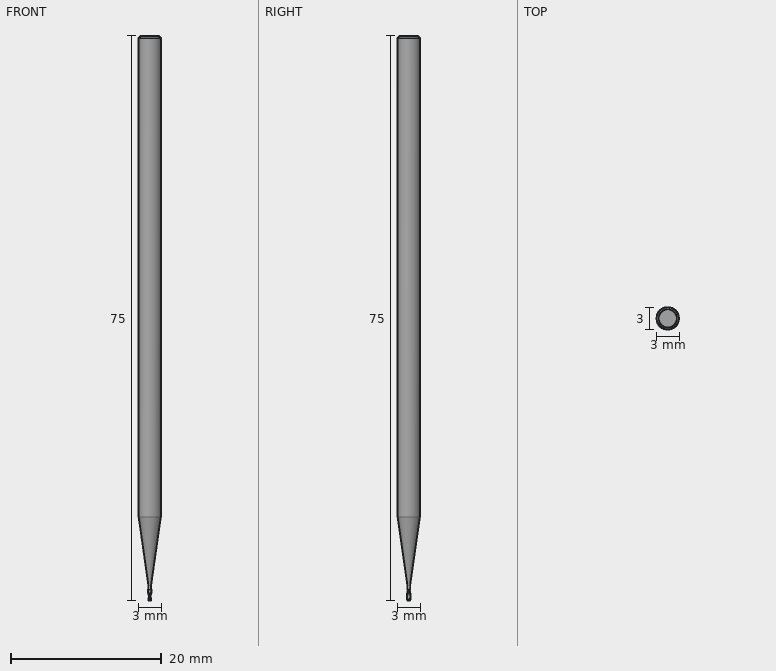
import cadquery as cq
import math

total_length = 75.0
shank_diameter = 3.0
shank_chamfer = 0.3
shank_bottom_z = 11.2
taper_bottom_z = 2.1
neck_diameter = 0.4

head_diameter = 0.5
head_length = 1.5
web_thickness = 0.15
web_stock_width = 2 * head_diameter
helix_angle = 25.0
tip_web_angle = 25.0

shank_radius = shank_diameter / 2
neck_radius = neck_diameter / 2
head_radius = head_diameter / 2
nose_arc_offset = head_radius * math.sqrt(0.5)
helix_pitch = math.pi * head_diameter / math.tan(math.radians(helix_angle))
head_twist = 360 * head_length / helix_pitch

profile_plane = cq.Plane(origin=(0, 0, 0), xDir=(0, -1, 0), normal=(-1, 0, 0))


def revolve_about_axis(profile):
    """Turn a half profile a full revolution about the tool axis."""
    return profile.close().revolve(360, (0, 0), (0, 1))


def make_holder():
    """Chamfered cylindrical shank, tapering down to a short neck."""
    profile = (
        cq.Workplane(profile_plane)
        .moveTo(0, head_length)
        .lineTo(neck_radius, head_length)
        .lineTo(neck_radius, taper_bottom_z)
        .lineTo(shank_radius, shank_bottom_z)
        .lineTo(shank_radius, total_length - shank_chamfer)
        .lineTo(shank_radius - shank_chamfer, total_length)
        .lineTo(0, total_length)
    )
    return revolve_about_axis(profile)


def make_cutting_head():
    """Ball-nosed cutter whose two flutes leave a right-hand twisted web."""
    profile = (
        cq.Workplane(profile_plane)
        .moveTo(0, 0)
        .threePointArc((nose_arc_offset, head_radius - nose_arc_offset), (head_radius, head_radius))
        .lineTo(head_radius, head_length)
        .lineTo(0, head_length)
    )
    envelope = revolve_about_axis(profile)
    web = (
        cq.Workplane("XY")
        .transformed(rotate=(0, 0, tip_web_angle))
        .rect(web_stock_width, web_thickness)
        .twistExtrude(head_length, head_twist)
    )
    return envelope.intersect(web)


holder = make_holder()
cutting_head = make_cutting_head()

result = cq.Compound.makeCompound([holder.val(), *cutting_head.solids().vals()])